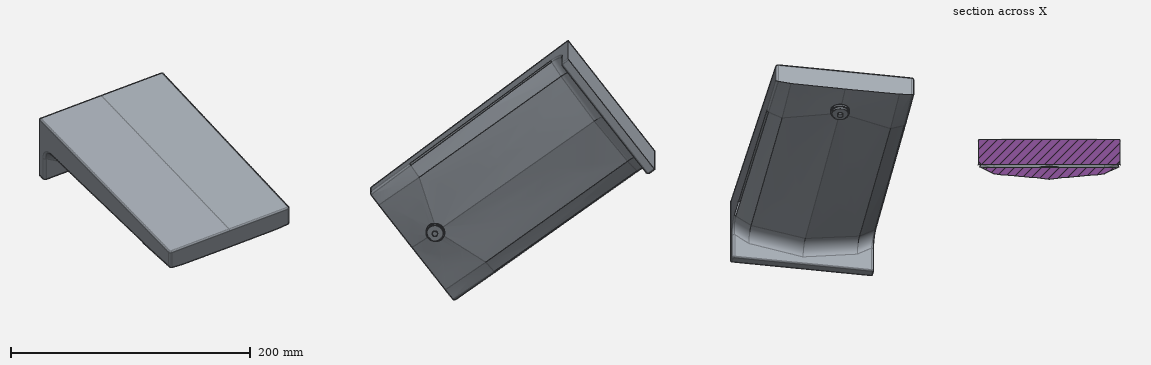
import cadquery as cq
import math

length = 208.7
back_width = 120.0
front_width = 116.8
height = 61.3
top_edge_drop = 0.08

wall_thickness = 7.5
corner_run = 10.5
side_nose_x = 166.3
centre_nose_x = 182.5
crease_y = 46.0

side_heights = (34.8, 42.0, 44.5)
crease_heights = (26.3, 36.5, 43.2)
centre_heights = (18.5, 35.9, 43.0)

underside_round = 2.0
top_round = 1.3
bottom_round = 1.0

nozzle_x = 184.2
nozzle_z = 35.7
nozzle_tilt = 8.0
ring_radius = 8.0
ring_thickness = 2.0
disc_radius = 6.9
disc_thickness = 2.0
peg_radius = 2.3
peg_length = 1.7


def roof_z(y):
    return height - top_edge_drop * abs(y) / (back_width / 2)


def lengthwise_profile(y, nose_x, heights):
    """Closed L-shaped outline at one Y, with a tangent round between wall and underside."""
    corner_z, nose_z, front_z = heights
    corner_x = wall_thickness + corner_run
    slope_angle = math.atan2(nose_z - corner_z, nose_x - corner_x)
    tangent_length = corner_run / math.cos(slope_angle)
    radius = tangent_length / math.tan((math.pi / 2 - slope_angle) / 2)
    wall_top_z = corner_z - tangent_length * (1 + math.sin(slope_angle))
    middle_angle = (math.pi + math.pi / 2 + slope_angle) / 2
    round_middle = (
        wall_thickness + radius * (1 + math.cos(middle_angle)),
        wall_top_z + radius * math.sin(middle_angle),
    )
    return (
        cq.Workplane("XZ", origin=(0, y, 0))
        .moveTo(0, 0)
        .lineTo(wall_thickness, 0)
        .lineTo(wall_thickness, wall_top_z)
        .threePointArc(round_middle, (corner_x, corner_z))
        .lineTo(nose_x, nose_z)
        .lineTo(length, front_z)
        .lineTo(length, roof_z(y))
        .lineTo(0, roof_z(y))
        .close()
        .val()
    )


def housing_blank():
    """Straight loft across the width, from one side to the other."""
    half_sections = [
        (back_width / 2, side_nose_x, side_heights),
        (crease_y, side_nose_x, crease_heights),
    ]
    sections = [(-y, nose_x, heights) for y, nose_x, heights in half_sections]
    sections.append((0, centre_nose_x, centre_heights))
    sections += reversed(half_sections)
    wires = [lengthwise_profile(*section) for section in sections]
    return cq.Workplane(cq.Solid.makeLoft(wires, True))


def tapered_plan():
    """Prism with the housing's outline from above, narrowing toward the front."""
    return (
        cq.Workplane("XY")
        .moveTo(0, -back_width / 2)
        .lineTo(length, -front_width / 2)
        .lineTo(length, front_width / 2)
        .lineTo(0, back_width / 2)
        .close()
        .extrude(height)
    )


def round_edges(body, chosen, radius):
    """Round every edge whose centre point satisfies the given test."""
    edges = [edge for edge in body.edges().vals() if chosen(edge.Center())]
    return body.newObject(edges).fillet(radius)


def make_housing():
    body = housing_blank().intersect(tapered_plan())
    near = 0.2
    side_y = front_width / 2 - near

    def below_top_side(centre):
        on_side = abs(centre.y) > side_y
        return on_side and centre.x > near and near < centre.z < height - 2 * near

    def top_side(centre):
        return abs(centre.y) > side_y - top_round and centre.z > height - 2 * near

    def bottom_except_back(centre):
        return centre.z < near and centre.x > near

    body = round_edges(body, below_top_side, underside_round)
    body = round_edges(body, top_side, top_round)
    return round_edges(body, bottom_except_back, bottom_round)


tilt = math.radians(nozzle_tilt)
nozzle_plane = cq.Plane(
    origin=(nozzle_x, 0, nozzle_z),
    xDir=(math.cos(tilt), 0, math.sin(tilt)),
    normal=(math.sin(tilt), 0, -math.cos(tilt)),
)


def nozzle_cylinder(radius, start, thickness):
    """Cylinder on the nozzle axis, from a distance below the ring's lower face downward."""
    return cq.Workplane(nozzle_plane).workplane(offset=start).circle(radius).extrude(thickness)


ring = nozzle_cylinder(ring_radius, -ring_thickness, ring_thickness)
disc = nozzle_cylinder(disc_radius, 0, disc_thickness)
peg = nozzle_cylinder(peg_radius, disc_thickness, peg_length)
housing = make_housing().cut(ring)

result = cq.Compound.makeCompound([housing.val(), ring.val(), disc.val(), peg.val()])